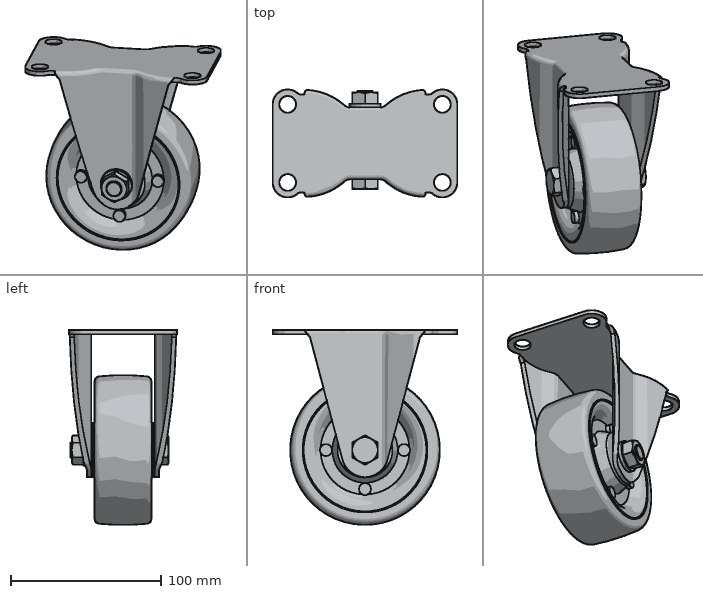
import cadquery as cq
import math


sheet = 3.0
plate_top = 80.0
plate_length = 123.0
plate_width = 72.0
corner_radius = 10.0
mount_hole_dia = 11.0
corner_neck_fillet = 3.0
leg_inside = 21.0
leg_flat_half = 10.0
bend_radius = 8.6
bend_angle = math.radians(42)
wing_inside = 32.7
leg_tip_radius = 15.5
leg_tip_center_z = -2.5
leg_edge_angle = math.radians(14.9)
bend_margin = 0.01
flare_z = plate_top - 5.0

wheel_radius = 50.0
wheel_half_width = 19.0
tread_half_width = 15.5
tread_edge_radius = 49.2
tire_side_radius = 45.3
groove_outer_radius = 41.6
groove_inner_radius = 40.8
groove_depth = 0.6
dish_inner_radius = 32.3
dish_inner_y = 14.3
web_radius = 29.6
web_half_thickness = 11.3
hub_base_radius = 21.8
hub_face_radius = 17.5
hub_rounding = 0.8
hub_half_width = 20.2
spacer_radius = 8.0
peg_count = 4
peg_radius = 4.0
peg_circle_radius = 26.0
peg_height = 3.0

shank_dia = 10.5
hex_across_flats = 17.0
head_height = 6.4
washer_radius = 10.5
washer_thickness = 2.5
nut_height = 7.5
bolt_end_length = 1.1
bolt_end_chamfer = 0.5

leg_outside = leg_inside + sheet
wing_rise = wing_inside - leg_inside - bend_radius * (1 - math.cos(bend_angle))
wing_radius = wing_rise / (1 - math.cos(bend_angle))
wing_end_x = leg_flat_half + (bend_radius + wing_radius) * math.sin(bend_angle)
hole_x = plate_length / 2 - corner_radius
hole_y = plate_width / 2 - corner_radius


def y_cylinder(radius, y_start, y_end):
    """Solid cylinder on the axle line."""
    return cq.Workplane("XZ", origin=(0, y_start, 0)).circle(radius).extrude(y_start - y_end)



def arc_point(center, radius, angle):
    """Point on an arc, with the angle measured from the Y axis towards +X."""
    return (center[0] + radius * math.sin(angle), center[1] + radius * math.cos(angle))


def waisted_block(offset, z_bottom, z_top):
    """Block whose sides follow the leg walls, a given distance outside their inner faces."""
    bend_center = (leg_flat_half, leg_inside + bend_radius)
    wing_center = (wing_end_x, wing_inside - wing_radius)
    bend = bend_radius - offset
    wing = wing_radius + offset
    bend_start = (leg_flat_half, leg_inside + offset)
    bend_middle = arc_point(bend_center, bend, math.pi - bend_angle / 2)
    bend_end = arc_point(bend_center, bend, math.pi - bend_angle)
    wing_middle = arc_point(wing_center, wing, -bend_angle / 2)
    wing_end = (wing_end_x, wing_inside + offset)
    quarter = (
        cq.Workplane("XY", origin=(0, 0, z_bottom))
        .lineTo(0, leg_inside + offset)
        .lineTo(*bend_start)
        .threePointArc(bend_middle, bend_end)
        .threePointArc(wing_middle, wing_end)
        .lineTo(wing_end_x, 0)
        .close()
        .extrude(z_top - z_bottom)
    )
    half = quarter.union(quarter.mirror("YZ"))
    return half.union(half.mirror("XZ")).clean()


def leg_outline():
    """Prism through both legs: tapering edges, rounded tip and flared shoulders."""
    tip_x = leg_tip_radius * math.cos(leg_edge_angle)
    tip_z = leg_tip_center_z - leg_tip_radius * math.sin(leg_edge_angle)
    flare_x = tip_x + (flare_z - tip_z) * math.tan(leg_edge_angle)
    return (
        cq.Workplane("XZ")
        .moveTo(-tip_x, tip_z)
        .threePointArc((0, leg_tip_center_z - leg_tip_radius), (tip_x, tip_z))
        .lineTo(flare_x, flare_z)
        .lineTo(wing_end_x, plate_top)
        .lineTo(-wing_end_x, plate_top)
        .lineTo(-flare_x, flare_z)
        .close()
        .extrude(plate_width, both=True)
    )


def make_legs():
    """Two legs with a rounded bend along the top, joined by the middle of the mounting plate."""
    leg_bottom = leg_tip_center_z - leg_tip_radius
    outside = waisted_block(sheet, leg_bottom, plate_top)
    long_top_edges = outside.faces(">Z").edges("not(<X or >X)")
    outside = long_top_edges.fillet(sheet - bend_margin)
    inside = waisted_block(0, leg_bottom, plate_top - sheet)
    legs = outside.cut(inside).intersect(leg_outline())
    return legs.union(waisted_block(0, plate_top - sheet, plate_top))


def make_plate_end():
    """One end of the mounting plate with its two rounded corner lobes."""
    z_bottom = plate_top - sheet
    end_x = plate_length / 2
    end = (
        cq.Workplane("XY", origin=(0, 0, z_bottom))
        .moveTo((wing_end_x + hole_x) / 2, 0)
        .rect(hole_x - wing_end_x, 2 * wing_inside)
        .extrude(sheet)
    )
    strip = (
        cq.Workplane("XY", origin=(0, 0, z_bottom))
        .moveTo((hole_x + end_x) / 2, 0)
        .rect(corner_radius, 2 * hole_y)
        .extrude(sheet)
    )
    lobes = (
        cq.Workplane("XY", origin=(0, 0, z_bottom))
        .pushPoints([(hole_x, hole_y), (hole_x, -hole_y)])
        .circle(corner_radius)
        .extrude(sheet)
    )
    end = end.union(strip).union(lobes).clean()
    neck_x = hole_x - math.sqrt(corner_radius**2 - (wing_inside - hole_y) ** 2)
    for side in (1, -1):
        neck = cq.selectors.NearestToPointSelector((neck_x, side * wing_inside, z_bottom + sheet / 2))
        end = end.edges(neck).fillet(corner_neck_fillet)
    return end


def make_fork():
    plate_end = make_plate_end()
    fork = make_legs().union(plate_end).union(plate_end.mirror("YZ"))
    mount_holes = (
        cq.Workplane("XY", origin=(0, 0, plate_top - sheet))
        .rect(2 * hole_x, 2 * hole_y, forConstruction=True)
        .vertices()
        .circle(mount_hole_dia / 2)
        .extrude(sheet)
    )
    axle_hole = y_cylinder(shank_dia / 2, -leg_outside, leg_outside)
    washer_seat = y_cylinder(washer_radius, leg_outside, leg_outside + washer_thickness)
    return fork.cut(mount_holes).cut(axle_hole).cut(washer_seat).clean()



def revolve_on_axle(section):
    """Solid of revolution from a closed (radius, Y) section."""
    return section.close().revolve(360, (0, 0, 0), (0, 1, 0))


def make_wheel_blank():
    """Disc with a crowned tread and rounded shoulders."""
    shoulder_width = wheel_half_width - tread_half_width
    shoulder_height = tread_edge_radius - tire_side_radius
    shoulder_mid_radius = tire_side_radius + shoulder_height * math.sqrt(0.5)
    shoulder_mid_y = tread_half_width + shoulder_width * math.sqrt(0.5)
    section = (
        cq.Workplane("XY")
        .moveTo(0, -wheel_half_width)
        .lineTo(tire_side_radius, -wheel_half_width)
        .threePointArc((shoulder_mid_radius, -shoulder_mid_y), (tread_edge_radius, -tread_half_width))
        .threePointArc((wheel_radius, 0), (tread_edge_radius, tread_half_width))
        .threePointArc((shoulder_mid_radius, shoulder_mid_y), (tire_side_radius, wheel_half_width))
        .lineTo(0, wheel_half_width)
    )
    return revolve_on_axle(section)


def make_dish():
    """Recess on the +Y side: a rim that rounds over, then slopes down to the flat web."""
    rise = wheel_half_width - dish_inner_y
    run = groove_inner_radius - dish_inner_radius
    rim_radius = (run**2 + rise**2) / (2 * rise)
    half_sweep = math.atan2(rise, run)
    rim_mid = (
        groove_inner_radius - rim_radius * math.sin(half_sweep),
        wheel_half_width - rim_radius * (1 - math.cos(half_sweep)),
    )
    section = (
        cq.Workplane("XY")
        .moveTo(0, wheel_half_width)
        .lineTo(groove_inner_radius, wheel_half_width)
        .threePointArc(rim_mid, (dish_inner_radius, dish_inner_y))
        .lineTo(web_radius, web_half_thickness)
        .lineTo(0, web_half_thickness)
    )
    return revolve_on_axle(section)


def make_groove():
    """Shallow ring groove between rim and tire on the +Y side."""
    floor_y = wheel_half_width - groove_depth
    return y_cylinder(groove_outer_radius, floor_y, wheel_half_width).cut(
        y_cylinder(groove_inner_radius, floor_y, wheel_half_width)
    )


def make_hub():
    """Tapered hub with a rounded rim and a spacer that reaches the leg, on the +Y side."""
    shoulder_radius = hub_face_radius + hub_rounding
    shoulder_y = hub_half_width - hub_rounding
    section = (
        cq.Workplane("XY")
        .lineTo(hub_base_radius, 0)
        .lineTo(hub_base_radius, web_half_thickness)
        .lineTo(shoulder_radius, shoulder_y)
        .threePointArc(
            (hub_face_radius + hub_rounding * math.sqrt(0.5), shoulder_y + hub_rounding * math.sqrt(0.5)),
            (hub_face_radius, hub_half_width),
        )
        .lineTo(spacer_radius, hub_half_width)
        .lineTo(spacer_radius, leg_inside)
        .lineTo(0, leg_inside)
    )
    return revolve_on_axle(section)


def make_pegs():
    """Round pegs standing on both faces of the web."""
    peg_end = web_half_thickness + peg_height
    return (
        cq.Workplane("XZ")
        .polarArray(peg_circle_radius, 0, 360, peg_count)
        .circle(peg_radius)
        .extrude(peg_end, both=True)
    )


def make_wheel():
    recess = make_dish().union(make_groove())
    hub = make_hub()
    wheel = make_wheel_blank().cut(recess).cut(recess.mirror("XZ"))
    wheel = wheel.union(hub).union(hub.mirror("XZ")).union(make_pegs())
    return wheel.cut(y_cylinder(shank_dia / 2, -leg_inside, leg_inside))



def hexagon(y_start, y_end):
    """Hexagon prism on the axle line, its corners up and down and chamfered at y_end."""
    height = abs(y_end - y_start)
    across_corners = hex_across_flats / math.cos(math.pi / 6)
    chamfer_slope = math.tan(math.pi / 6)
    cone_base = hex_across_flats / 2 + height / chamfer_slope
    direction = 1 if y_end > y_start else -1
    prism = (
        cq.Workplane("XZ", origin=(0, y_start, 0))
        .polygon(6, across_corners)
        .extrude(-direction * height)
        .rotate((0, 0, 0), (0, 1, 0), 30)
    )
    cone = (
        cq.Workplane("XY")
        .moveTo(0, y_start)
        .lineTo(cone_base, y_start)
        .lineTo(hex_across_flats / 2, y_end)
        .lineTo(0, y_end)
        .close()
        .revolve(360, (0, 0, 0), (0, 1, 0))
    )
    return prism.intersect(cone)


def make_axle():
    """Bolt with its washer and nut as one body."""
    washer_end = leg_outside + washer_thickness
    nut_end = washer_end + nut_height
    bolt_end = nut_end + bolt_end_length
    shank = y_cylinder(shank_dia / 2, -leg_outside, bolt_end).faces(">Y").chamfer(bolt_end_chamfer)
    head = hexagon(-leg_outside, -leg_outside - head_height)
    washer = y_cylinder(washer_radius, leg_outside, washer_end)
    nut = hexagon(washer_end, nut_end)
    return shank.union(head).union(washer).union(nut)


fork = make_fork()
wheel = make_wheel()
axle = make_axle()

result = cq.Compound.makeCompound([body.solids().val() for body in (fork, wheel, axle)])